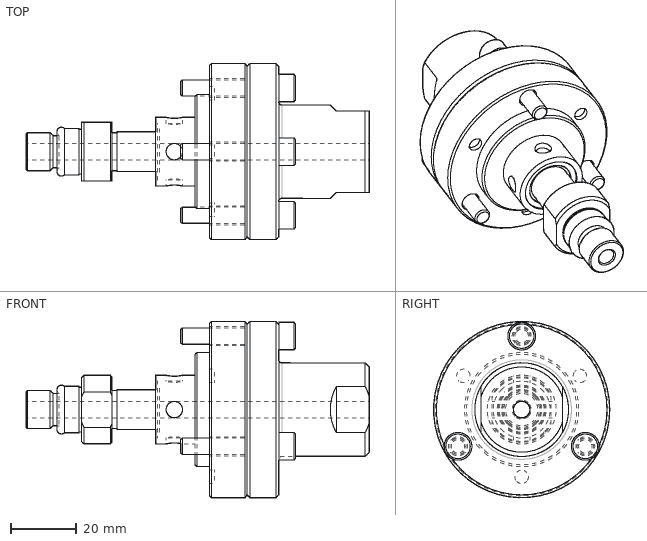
import cadquery as cq
import math

TOTAL_LENGTH = 105.15

BORE_DIA = 5.0
BORE_ENTRY_DIA = 5.8

TIP_DIA = 11.7
TIP_END_X = 7.4
TIP_CHAMFER = 0.4
NECK_DIA = 9.9
O_RING_X = 10.85
O_RING_SECTION_RADIUS = 1.4
O_RING_OUTER_DIA = 15.0
O_RING_CENTER_RADIUS = O_RING_OUTER_DIA / 2 - O_RING_SECTION_RADIUS
SPIGOT_DIA = 14.32
SPIGOT_END_X = 16.15
SPIGOT_RELIEF_DIA = 13.8

COLLAR_START_X = 16.95
COLLAR_END_X = 26.3
COLLAR_DIA = 21.1
COLLAR_ACROSS_FLATS = 18.1
COLLAR_FRONT_CHAMFER = 0.8
COLLAR_REAR_CHAMFER = 0.5

SHAFT_RELIEF_DIA = 11.7
SHAFT_START_X = 27.9
SHAFT_DIA = 12.3

SLEEVE_START_X = 39.7
SLEEVE_DIA = 21.1
SLEEVE_BORE_DIA = 17.4
SLEEVE_RECESS_DEPTH = 0.6
SEAL_RECESS_DIA = 14.0
SEAL_RECESS_DEPTH = 1.2
VENT_DIA = 5.0
VENT_X = 45.4

PILOT_START_X = 51.7
PILOT_DIA = 35.0
PILOT_CHAMFER = 0.6
FLANGE_DIA = 54.0
FLANGE_START_X = 56.15
FLANGE_JOINT_X = 67.6
FLANGE_END_X = 77.4
FLANGE_CHAMFER = 0.6
REAR_FLANGE_CHAMFER = 0.9

BODY_DIA = 28.7
BODY_FILLET = 0.9
BODY_CHAMFER = 1.3
BODY_ACROSS_FLATS = 25.0
BODY_FLAT_START_X = 95.0

SCREW_COUNT = 3
SCREW_CIRCLE_RADIUS = 22.5
SCREW_DIA = 5.0
SCREW_TIP_DIA = 4.13
SCREW_TIP_CHAMFER_LENGTH = 0.6
SCREW_START_X = 47.3
SCREW_CLEARANCE_DIA = 5.8
SCREW_HEAD_DIA = 8.5
SCREW_HEAD_LENGTH = 5.1
SCREW_HEAD_CHAMFER = 0.5
FIRST_SCREW_ANGLE = 90.0

BLIND_HOLE_DIA = 4.13
BLIND_HOLE_DEPTH = 1.6
BLIND_CIRCLE_RADIUS = 20.6
FIRST_BLIND_ANGLE = FIRST_SCREW_ANGLE + 180.0 / SCREW_COUNT


def x_cylinder(start_x, end_x, diameter, y=0.0, z=0.0):
    """Solid cylinder along X, centred at (y, z)."""
    return (
        cq.Workplane("YZ", origin=(start_x, y, z))
        .circle(diameter / 2)
        .extrude(end_x - start_x)
    )


def circle_positions(radius, first_angle):
    """(y, z) places evenly spread around the X axis, one per screw."""
    positions = []
    for index in range(SCREW_COUNT):
        angle = math.radians(first_angle + index * 360.0 / SCREW_COUNT)
        positions.append((radius * math.cos(angle), radius * math.sin(angle)))
    return positions


def make_nipple():
    """Revolved tip, relief neck and spigot with the O-ring seated behind the neck."""
    tip_radius = TIP_DIA / 2
    neck_radius = NECK_DIA / 2
    spigot_radius = SPIGOT_DIA / 2
    relief_radius = SPIGOT_RELIEF_DIA / 2
    tip_run_out = tip_radius - neck_radius
    core = (
        cq.Workplane("XY")
        .moveTo(0, 0)
        .lineTo(0, tip_radius - TIP_CHAMFER)
        .lineTo(TIP_CHAMFER, tip_radius)
        .lineTo(TIP_END_X, tip_radius)
        .lineTo(TIP_END_X + tip_run_out, neck_radius)
        .lineTo(O_RING_X, neck_radius)
        .lineTo(O_RING_X, spigot_radius)
        .lineTo(SPIGOT_END_X, spigot_radius)
        .lineTo(SPIGOT_END_X, relief_radius)
        .lineTo(COLLAR_START_X, relief_radius)
        .lineTo(COLLAR_START_X, 0)
        .close()
        .revolve(360, (0, 0, 0), (1, 0, 0))
    )
    o_ring = (
        cq.Workplane("XY")
        .center(O_RING_X, O_RING_CENTER_RADIUS)
        .circle(O_RING_SECTION_RADIUS)
        .revolve(360, (0, -O_RING_CENTER_RADIUS, 0), (1, -O_RING_CENTER_RADIUS, 0))
    )
    return core.union(o_ring)


def make_collar():
    """Round collar with two wrench flats facing -Y and +Y."""
    collar = x_cylinder(COLLAR_START_X, COLLAR_END_X, COLLAR_DIA)
    collar = collar.faces("<X").chamfer(COLLAR_FRONT_CHAMFER)
    collar = collar.faces(">X").chamfer(COLLAR_REAR_CHAMFER)
    flats = cq.Workplane("XY").box(TOTAL_LENGTH * 2, COLLAR_ACROSS_FLATS, COLLAR_DIA)
    return collar.intersect(flats)


def make_shaft():
    """Rotor shaft from the collar into the sleeve, stepped down behind the collar."""
    relief = x_cylinder(COLLAR_END_X, SHAFT_START_X, SHAFT_RELIEF_DIA)
    return relief.union(x_cylinder(SHAFT_START_X, PILOT_START_X, SHAFT_DIA))


def make_sleeve():
    """Sleeve with a stepped recess around the shaft and four radial vents down to the seal carrier."""
    sleeve = x_cylinder(SLEEVE_START_X, PILOT_START_X, SLEEVE_DIA)
    recess_end_x = SLEEVE_START_X + SLEEVE_RECESS_DEPTH
    sleeve = sleeve.cut(x_cylinder(SLEEVE_START_X, recess_end_x, SLEEVE_BORE_DIA))
    seal_recess_end_x = SLEEVE_START_X + SEAL_RECESS_DEPTH
    sleeve = sleeve.cut(x_cylinder(SLEEVE_START_X, seal_recess_end_x, SEAL_RECESS_DIA))
    seal_carrier = x_cylinder(seal_recess_end_x, PILOT_START_X, SLEEVE_BORE_DIA)
    for plane in ("XY", "XZ"):
        vent = (
            cq.Workplane(plane, origin=(VENT_X, 0, 0))
            .circle(VENT_DIA / 2)
            .extrude(SLEEVE_DIA, both=True)
        )
        sleeve = sleeve.cut(vent.cut(seal_carrier))
    return sleeve


def make_flanges():
    """Pilot boss and the two chamfered flanges, with the front flange drilled."""
    pilot = x_cylinder(PILOT_START_X, FLANGE_START_X, PILOT_DIA)
    pilot = pilot.faces("<X").chamfer(PILOT_CHAMFER)
    front = x_cylinder(FLANGE_START_X, FLANGE_JOINT_X, FLANGE_DIA)
    front = front.edges().chamfer(FLANGE_CHAMFER)
    for y, z in circle_positions(SCREW_CIRCLE_RADIUS, FIRST_SCREW_ANGLE):
        front = front.cut(x_cylinder(FLANGE_START_X, FLANGE_JOINT_X, SCREW_CLEARANCE_DIA, y, z))
    blind_end_x = FLANGE_START_X + BLIND_HOLE_DEPTH
    for y, z in circle_positions(BLIND_CIRCLE_RADIUS, FIRST_BLIND_ANGLE):
        front = front.cut(x_cylinder(FLANGE_START_X, blind_end_x, BLIND_HOLE_DIA, y, z))
    rear = x_cylinder(FLANGE_JOINT_X, FLANGE_END_X, FLANGE_DIA)
    rear = rear.edges().chamfer(REAR_FLANGE_CHAMFER)
    return pilot.union(front).union(rear)


def make_body():
    """Rear body with a root fillet and two wrench flats that ramp out at 45 degrees."""
    body_radius = BODY_DIA / 2
    fillet_radius = body_radius + BODY_FILLET
    fillet_end_x = FLANGE_END_X + BODY_FILLET
    fillet_mid_offset = BODY_FILLET * (1 - math.sqrt(0.5))
    body = (
        cq.Workplane("XY")
        .moveTo(FLANGE_END_X, 0)
        .lineTo(FLANGE_END_X, fillet_radius)
        .threePointArc(
            (FLANGE_END_X + fillet_mid_offset, body_radius + fillet_mid_offset),
            (fillet_end_x, body_radius),
        )
        .lineTo(TOTAL_LENGTH - BODY_CHAMFER, body_radius)
        .lineTo(TOTAL_LENGTH, body_radius - BODY_CHAMFER)
        .lineTo(TOTAL_LENGTH, 0)
        .close()
        .revolve(360, (0, 0, 0), (1, 0, 0))
    )
    flat_y = BODY_ACROSS_FLATS / 2
    ramp = BODY_DIA - flat_y
    flat_cut = (
        cq.Workplane("XY")
        .moveTo(BODY_FLAT_START_X, flat_y)
        .lineTo(TOTAL_LENGTH, flat_y)
        .lineTo(TOTAL_LENGTH, BODY_DIA)
        .lineTo(BODY_FLAT_START_X - ramp, BODY_DIA)
        .close()
        .extrude(BODY_DIA, both=True)
    )
    return body.cut(flat_cut).cut(flat_cut.mirror("XZ"))


def make_screw(y, z):
    """Cap screw with its head on the rear flange and its tip ahead of the front flange."""
    tip_end_x = SCREW_START_X + SCREW_TIP_CHAMFER_LENGTH
    tip = (
        cq.Workplane("YZ", origin=(SCREW_START_X, y, z))
        .circle(SCREW_TIP_DIA / 2)
        .workplane(offset=SCREW_TIP_CHAMFER_LENGTH)
        .circle(SCREW_DIA / 2)
        .loft()
    )
    shank = x_cylinder(tip_end_x, FLANGE_END_X, SCREW_DIA, y, z)
    head = x_cylinder(FLANGE_END_X, FLANGE_END_X + SCREW_HEAD_LENGTH, SCREW_HEAD_DIA, y, z)
    head = head.faces(">X").chamfer(SCREW_HEAD_CHAMFER)
    return tip.union(shank).union(head)


def make_bore():
    """Through passage, countersunk where it enters the tip."""
    entry_depth = (BORE_ENTRY_DIA - BORE_DIA) / 2
    entry = (
        cq.Workplane("YZ")
        .circle(BORE_ENTRY_DIA / 2)
        .workplane(offset=entry_depth)
        .circle(BORE_DIA / 2)
        .loft()
    )
    return x_cylinder(0, TOTAL_LENGTH, BORE_DIA).union(entry)


union = make_nipple()
for component in (make_collar(), make_shaft(), make_sleeve(), make_flanges(), make_body()):
    union = union.union(component)
for screw_y, screw_z in circle_positions(SCREW_CIRCLE_RADIUS, FIRST_SCREW_ANGLE):
    union = union.union(make_screw(screw_y, screw_z))

result = union.cut(make_bore())